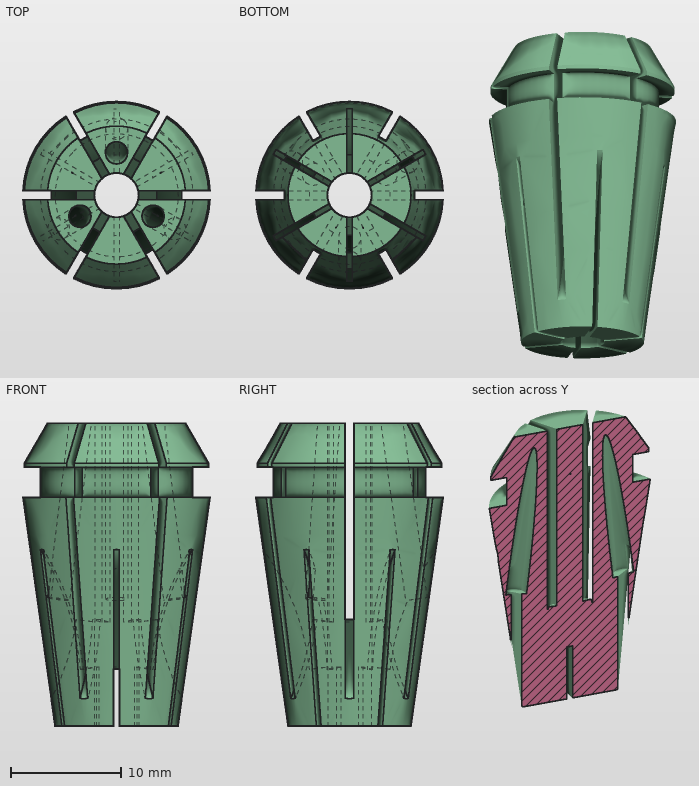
import cadquery as cq
import math


TOTAL_HEIGHT = 27.5
TAPER_TOP_RADIUS = 8.5
TAPER_HEIGHT = 20.75
TAPER_ANGLE = 8.0
GROOVE_RADIUS = 6.93
RIM_RADIUS = 8.37
RIM_BOTTOM = 23.5
RIM_BAND = 0.35
NOSE_ANGLE = 30.0
BORE_RADIUS = 2.0

SAW_RADIUS = 22.0
FLOOR_HALF_WIDTH = 3.66
CUTS_PER_END = 3
UPPER_SLOT_WIDTH = 0.8
UPPER_SLOT_ANGLE = 0.0
UPPER_FLOOR_Z = 9.7
UPPER_RUNOUT_Z = 2.5
LOWER_SLOT_WIDTH = 0.5
LOWER_SLOT_ANGLE = 30.0
LOWER_FLOOR_Z = 5.17
LOWER_RUNOUT_Z = 16.03

HOLE_RADIUS = 1.0
HOLE_PITCH_RADIUS = 3.83
HOLE_TILT = 8.0
HOLE_DEPTH = 16.1
HOLE_ANGLES = (90.0, 210.0, 330.0)
HOLE_LEAD = 1.0


def taper_radius(z):
    """Outer radius of the clamping taper at height z."""
    return TAPER_TOP_RADIUS - (TAPER_HEIGHT - z) * math.tan(math.radians(TAPER_ANGLE))


def body():
    """Revolved collet body with its through bore."""
    cone_bottom = RIM_BOTTOM + RIM_BAND
    nose_radius = RIM_RADIUS - (TOTAL_HEIGHT - cone_bottom) * math.tan(math.radians(NOSE_ANGLE))
    profile = [
        (BORE_RADIUS, 0),
        (taper_radius(0), 0),
        (TAPER_TOP_RADIUS, TAPER_HEIGHT),
        (GROOVE_RADIUS, TAPER_HEIGHT),
        (GROOVE_RADIUS, RIM_BOTTOM),
        (RIM_RADIUS, RIM_BOTTOM),
        (RIM_RADIUS, cone_bottom),
        (nose_radius, TOTAL_HEIGHT),
        (BORE_RADIUS, TOTAL_HEIGHT),
    ]
    return cq.Workplane("XZ").polyline(profile).close().revolve(360, (0, 0), (0, 1))


def side_saw_centre(inner, outer):
    """Centre, on the outer side, of the saw circle through two (radius, height) points."""
    dx = outer[0] - inner[0]
    dz = outer[1] - inner[1]
    chord = math.hypot(dx, dz)
    offset = math.sqrt(SAW_RADIUS**2 - (chord / 2) ** 2)
    return (
        (inner[0] + outer[0]) / 2 + offset * abs(dz) / chord,
        (inner[1] + outer[1]) / 2 - offset * dx * math.copysign(1, dz) / chord,
    )


def slot(width, floor_z, runout_z, open_side):
    """Full-diameter slot left by a saw at the axis and at both sides; open_side is +1 up, -1 down."""
    axial_offset = math.sqrt(SAW_RADIUS**2 - FLOOR_HALF_WIDTH**2)
    side_x, side_z = side_saw_centre((FLOOR_HALF_WIDTH, floor_z), (taper_radius(runout_z), runout_z))
    centres = [
        (0, floor_z + open_side * axial_offset),
        (side_x, side_z),
        (-side_x, side_z),
    ]
    discs = [
        cq.Workplane("XZ").center(x, z).circle(SAW_RADIUS).extrude(width / 2, both=True)
        for x, z in centres
    ]
    return discs[0].union(discs[1]).union(discs[2])


def cut_slots(part, cutter, first_angle):
    """Cut the slot on every diameter of one end."""
    for i in range(CUTS_PER_END):
        angle = first_angle + i * 180.0 / CUTS_PER_END
        part = part.cut(cutter.rotate((0, 0, 0), (0, 0, 1), angle))
    return part


def cut_holes(part):
    """Cut the blind holes, which lean outward as they go down from the front face."""
    tilt = math.radians(HOLE_TILT)
    for angle in HOLE_ANGLES:
        azimuth = math.radians(angle)
        outward = cq.Vector(math.cos(azimuth), math.sin(azimuth), 0)
        direction = outward * math.sin(tilt) + cq.Vector(0, 0, -math.cos(tilt))
        mouth = outward * HOLE_PITCH_RADIUS + cq.Vector(0, 0, TOTAL_HEIGHT)
        start = mouth - direction * HOLE_LEAD
        hole = cq.Solid.makeCylinder(HOLE_RADIUS, HOLE_DEPTH + HOLE_LEAD, start, direction)
        part = part.cut(cq.Workplane(hole))
    return part


upper_slot = slot(UPPER_SLOT_WIDTH, UPPER_FLOOR_Z, UPPER_RUNOUT_Z, 1)
lower_slot = slot(LOWER_SLOT_WIDTH, LOWER_FLOOR_Z, LOWER_RUNOUT_Z, -1)

result = cut_holes(body())
result = cut_slots(result, upper_slot, UPPER_SLOT_ANGLE)
result = cut_slots(result, lower_slot, LOWER_SLOT_ANGLE)